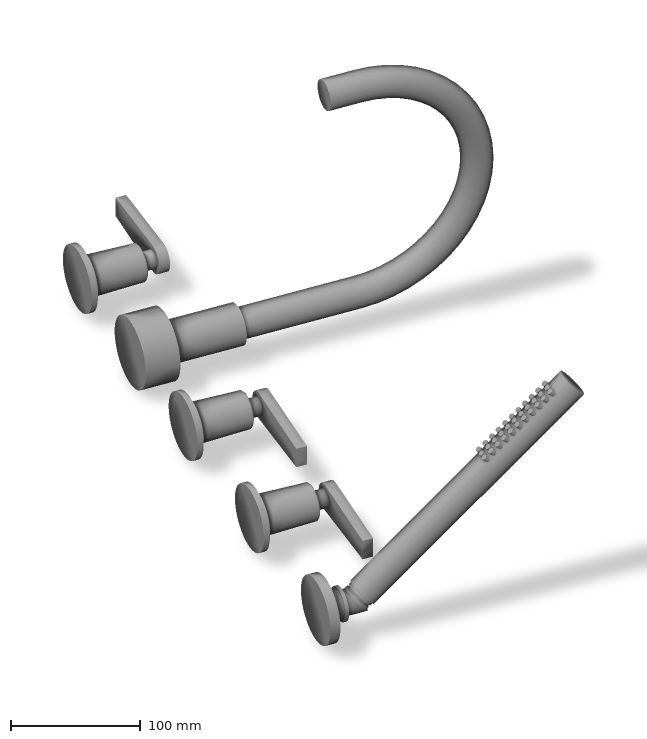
import cadquery as cq
import math


HANDLE_SPACING = 101.5
SHOWER_SPACING = 127.0
LEFT_HANDLE_X = -HANDLE_SPACING
RIGHT_HANDLE_X = HANDLE_SPACING
FAR_HANDLE_X = RIGHT_HANDLE_X + SHOWER_SPACING
SHOWER_X = FAR_HANDLE_X + SHOWER_SPACING

SPOUT_BASE_RADIUS = 30.0
SPOUT_BASE_HEIGHT = 29.0
COLLAR_RADIUS = 17.5
COLLAR_TOP = 90.5
TUBE_RADIUS = 13.0
BEND_RADIUS = 100.0
BEND_START = 191.5
OUTLET_LENGTH = 28.5

FLANGE_RADIUS = 28
FLANGE_THICKNESS = 5.0
STEP_RADIUS = 23.0
STEP_TOP = 7.0
SKIRT_TOP_RADIUS = 18.5
SKIRT_TOP = 9.5
BODY_BOTTOM_RADIUS = 17
BODY_TOP_RADIUS = 15.5
BODY_TOP = 53.0
BODY_CHAMFER = 1.0
STEM_RADIUS = 8.0
LEVER_BOTTOM = 63.5
LEVER_THICKNESS = 9.0
LEVER_REACH = 72.0
LEVER_HEAD_RADIUS = 12.5
LEVER_TIP_WIDTH = 18.0

HOLDER_FLANGE_RADIUS = 28.5
HOLDER_FLANGE_THICKNESS = 8.5
POST_RADIUS = 13.0
LIP_RADIUS = 14.5
LIP_BOTTOM = 19.0
LIP_TOP = 22.0
STUB_RADIUS = 10.5

WAND_TILT = 40.2
PIVOT_HEIGHT = 32.5
WAND_RADIUS = 13.0
WAND_START = 1.0
NECK_RADIUS = 12.0
NECK_END = 9.0
GROOVE_START = 4.0
GROOVE_END = 6.0
GROOVE_RADIUS = 10.5
SEAM_START = 20.5
SEAM_WIDTH = 0.5
SEAM_DEPTH = 0.3
WAND_END = 240
NOZZLE_ROWS = 11
NOZZLE_COLUMNS = 3
NOZZLE_ROW_PITCH = 7.0
NOZZLE_COLUMN_PITCH = 5.5
NOZZLE_RADIUS = 2.0
NOZZLE_PROTRUSION = 2.0
END_TO_NOZZLES = 15.0


def turned(profile):
    """Revolve a closed (radius, height) profile about the Y axis."""
    return cq.Workplane("XY").polyline(profile).close().revolve(360, (0, 0, 0), (0, 1, 0))


def make_spout():
    base_and_collar = turned([
        (0, 0),
        (SPOUT_BASE_RADIUS, 0),
        (SPOUT_BASE_RADIUS, SPOUT_BASE_HEIGHT),
        (COLLAR_RADIUS, SPOUT_BASE_HEIGHT),
        (COLLAR_RADIUS, COLLAR_TOP),
        (0, COLLAR_TOP),
    ])
    outlet_height = 2 * BEND_RADIUS
    path = (
        cq.Workplane("YZ")
        .moveTo(COLLAR_TOP, 0)
        .lineTo(BEND_START, 0)
        .threePointArc((BEND_START + BEND_RADIUS, BEND_RADIUS), (BEND_START, outlet_height))
        .lineTo(BEND_START - OUTLET_LENGTH, outlet_height)
    )
    tube = cq.Workplane("XZ", origin=(0, COLLAR_TOP, 0)).circle(TUBE_RADIUS).sweep(path)
    return base_and_collar.union(tube)


def make_lever():
    """Tapered lever towards +X, with straight sides tangent to its round head."""
    half_tip = LEVER_TIP_WIDTH / 2
    tip_corner_angle = math.atan2(LEVER_REACH, half_tip)
    tip_corner_distance = math.hypot(LEVER_REACH, half_tip)
    taper = tip_corner_angle - math.acos(LEVER_HEAD_RADIUS / tip_corner_distance)
    tangent_x = LEVER_HEAD_RADIUS * math.sin(taper)
    tangent_z = LEVER_HEAD_RADIUS * math.cos(taper)
    return (
        cq.Workplane("XZ", origin=(0, LEVER_BOTTOM, 0))
        .moveTo(tangent_x, tangent_z)
        .lineTo(LEVER_REACH, half_tip)
        .lineTo(LEVER_REACH, -half_tip)
        .lineTo(tangent_x, -tangent_z)
        .threePointArc((-LEVER_HEAD_RADIUS, 0), (tangent_x, tangent_z))
        .close()
        .extrude(-LEVER_THICKNESS)
    )


def make_handle(x, lever_angle):
    """Handle at the given X, its lever turned by lever_angle degrees from +X."""
    column = turned([
        (0, 0),
        (FLANGE_RADIUS, 0),
        (FLANGE_RADIUS, FLANGE_THICKNESS),
        (STEP_RADIUS, FLANGE_THICKNESS),
        (STEP_RADIUS, STEP_TOP),
        (SKIRT_TOP_RADIUS, SKIRT_TOP),
        (BODY_BOTTOM_RADIUS, SKIRT_TOP),
        (BODY_TOP_RADIUS, BODY_TOP - BODY_CHAMFER),
        (BODY_TOP_RADIUS - BODY_CHAMFER, BODY_TOP),
        (STEM_RADIUS, BODY_TOP),
        (STEM_RADIUS, LEVER_BOTTOM),
        (0, LEVER_BOTTOM),
    ])
    handle = column.union(make_lever())
    return handle.rotate((0, 0, 0), (0, 1, 0), lever_angle).translate((x, 0, 0))


def along_wand(shape):
    """Move a shape built about the Y axis onto the tilted wand axis."""
    return shape.rotate((0, 0, 0), (1, 0, 0), WAND_TILT).translate((SHOWER_X, PIVOT_HEIGHT, 0))


def make_holder():
    """Flanged post and lip, topped by a stub mitred square to the wand, which rests on it."""
    stub_height = 2 * PIVOT_HEIGHT
    holder = turned([
        (0, 0),
        (HOLDER_FLANGE_RADIUS, 0),
        (HOLDER_FLANGE_RADIUS, HOLDER_FLANGE_THICKNESS),
        (POST_RADIUS, HOLDER_FLANGE_THICKNESS),
        (POST_RADIUS, LIP_BOTTOM),
        (LIP_RADIUS, LIP_BOTTOM),
        (LIP_RADIUS, LIP_TOP),
        (STUB_RADIUS, LIP_TOP),
        (STUB_RADIUS, stub_height),
        (0, stub_height),
    ]).translate((SHOWER_X, 0, 0))
    mitre_width = 2 * stub_height
    mitre = (
        cq.Workplane("XZ", origin=(0, WAND_START, 0))
        .rect(mitre_width, mitre_width)
        .extrude(-mitre_width)
    )
    return holder.cut(along_wand(mitre))


def make_wand():
    seam_radius = WAND_RADIUS - SEAM_DEPTH
    seam_end = SEAM_START + SEAM_WIDTH
    wand = turned([
        (0, WAND_START),
        (NECK_RADIUS, WAND_START),
        (NECK_RADIUS, GROOVE_START),
        (GROOVE_RADIUS, GROOVE_START),
        (GROOVE_RADIUS, GROOVE_END),
        (NECK_RADIUS, GROOVE_END),
        (NECK_RADIUS, NECK_END),
        (WAND_RADIUS, NECK_END),
        (WAND_RADIUS, SEAM_START),
        (seam_radius, SEAM_START),
        (seam_radius, seam_end),
        (WAND_RADIUS, seam_end),
        (WAND_RADIUS, WAND_END),
        (0, WAND_END),
    ])
    nozzle_rows_center = WAND_END - END_TO_NOZZLES - (NOZZLE_ROWS - 1) * NOZZLE_ROW_PITCH / 2
    nozzles = (
        cq.Workplane("XY")
        .center(0, nozzle_rows_center)
        .rarray(NOZZLE_COLUMN_PITCH, NOZZLE_ROW_PITCH, NOZZLE_COLUMNS, NOZZLE_ROWS)
        .circle(NOZZLE_RADIUS)
        .extrude(WAND_RADIUS + NOZZLE_PROTRUSION)
    )
    return along_wand(wand.union(nozzles))


spout = make_spout()
handles = [
    make_handle(x, lever_angle)
    for x, lever_angle in [(LEFT_HANDLE_X, 180), (RIGHT_HANDLE_X, 0), (FAR_HANDLE_X, 0)]
]
holder = make_holder()
wand = make_wand()

result = cq.Compound.makeCompound([
    spout.val(),
    *[handle.val() for handle in handles],
    holder.val(),
    wand.val(),
])